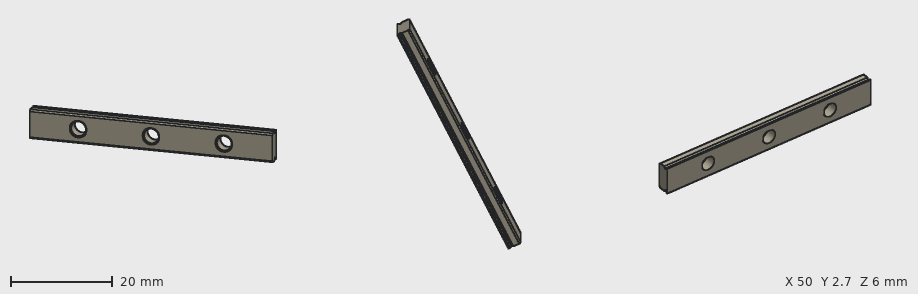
import cadquery as cq

length = 50.0
thickness = 2.7
height = 6.0
front_chamfer = 0.35

groove_width = 0.75
groove_depth = 0.375
relief_width = 0.15
relief_depth = 0.45
groove_center_from_back = 0.7

hole_count = 3
hole_pitch = 15.0
hole_diameter = 3.0
countersink_diameter = 3.5
countersink_angle = 90.0

front_y = -thickness / 2
back_y = thickness / 2


def make_bar():
    """Plain bar with its two long front edges chamfered."""
    bar = cq.Workplane("XY").box(length, thickness, height)
    return bar.faces("<Y").edges("|X").chamfer(front_chamfer)


def make_groove(side):
    """Cutter for one groove; side is +1 for the top face and -1 for the bottom."""
    center_y = back_y - groove_center_from_back
    mouth_z = side * height / 2
    groove = (
        cq.Workplane("YZ", origin=(-length / 2, center_y, mouth_z))
        .moveTo(-groove_width / 2, 0)
        .threePointArc((0, -side * groove_depth), (groove_width / 2, 0))
        .close()
        .extrude(length)
    )
    relief = cq.Workplane("XY").box(length, relief_width, 2 * relief_depth)
    return groove.union(relief.translate((0, center_y, mouth_z)))


def cut_holes(bar):
    """Drill the evenly spaced holes, countersunk on the front face."""
    first_x = -hole_pitch * (hole_count - 1) / 2
    centers = [(first_x + i * hole_pitch, 0) for i in range(hole_count)]
    return (
        bar.copyWorkplane(cq.Workplane("XZ", origin=(0, front_y, 0)))
        .pushPoints(centers)
        .cskHole(hole_diameter, countersink_diameter, countersink_angle)
    )


result = make_bar()
for groove_side in (1, -1):
    result = result.cut(make_groove(groove_side))
result = cut_holes(result)